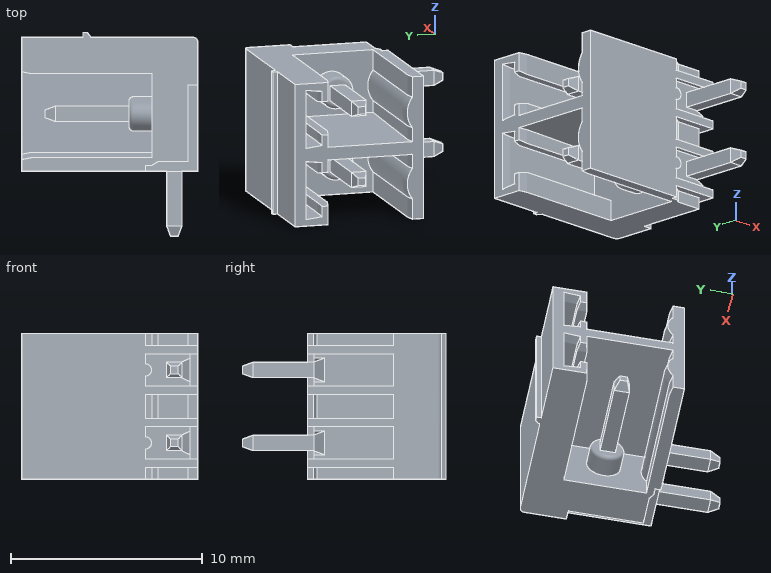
import cadquery as cq


length = 9.2
height = 7.0
pitch = 3.81
poles = 2
width = poles * pitch
corner_radius = 0.25

ridge_height = 0.25
ridge_start = 3.2
ridge_crest = 0.23
ridge_base = 0.43

cavity_depth = 6.8
lead_in_length = 0.5
lead_in_flare = 0.1
divider_draft = 0.12
floor_thickness = 0.71
divider_half = 0.46
rail_bottom = 5.1
rail_top = 5.63
rail_reach = 0.8
slot_top = 6.31
slot_half_bottom = 1.35
slot_half_top = 1.45
key_height = 0.28
key_half_width = 0.82

pin_size = 0.81
pin_tip_size = 0.4
pin_taper = 0.55
pin_height = 3.0
pin_front = 1.22
solder_leg_x = 7.97
solder_leg_length = 3.4
collar_diameter = 1.8
collar_length = 1.2
collar_round = 0.25

rib_thickness = 0.44
window_half_width = 0.845
relief_start = 6.46
relief_step_depth = 0.31
relief_slope_start = 6.8
relief_slope_end = 7.12
relief_depth = 0.51
relief_rear = 8.68
relief_top = 4.5

window_depth = 0.35
window_rear = 8.8
window_lug_radius = 0.32
funnel_drop = 0.55
funnel_half_near = 0.42
funnel_half_far = 0.62

pole_heights = [pitch * (index + 0.5) for index in range(poles)]


def block(x_range, y_range, z_range):
    """Box spanning the given (start, end) ranges."""
    sizes = [end - start for start, end in (x_range, y_range, z_range)]
    corner = (x_range[0], y_range[0], z_range[0])
    return cq.Workplane("XY").box(*sizes, centered=False).translate(corner)


def make_shell():
    """Solid housing with a rounded rear corner and the latch ridge."""
    shell = block((0, length), (0, height), (0, width))
    shell = shell.edges("|Z and >X and >Y").fillet(corner_radius)
    ridge = (
        cq.Workplane("XY")
        .moveTo(ridge_start, height)
        .lineTo(ridge_start, height + ridge_height)
        .lineTo(ridge_start + ridge_crest, height + ridge_height)
        .lineTo(ridge_start + ridge_base, height)
        .close()
        .extrude(width)
    )
    return shell.union(ridge)


def draw_cavity(sketch, flare, draft):
    """First pole's cavity outline, open at Z = 0.

    The walls move out by flare, except the divider face, which moves out by draft.
    """
    axis = pole_heights[0]
    floor = floor_thickness - flare
    divider = pitch - divider_half + draft
    bottom = rail_bottom + flare
    top = rail_top - flare
    reach = rail_reach + flare
    slot_low = slot_half_bottom + flare
    slot_high = slot_half_top + flare
    roof = slot_top + flare
    return (
        sketch.moveTo(floor, 0)
        .lineTo(floor, axis - key_half_width)
        .threePointArc((floor + key_height, axis), (floor, axis + key_half_width))
        .lineTo(floor, divider)
        .lineTo(bottom, divider)
        .lineTo(bottom, axis + reach)
        .lineTo(top, axis + reach)
        .lineTo(top, axis + slot_low)
        .lineTo(roof, axis + slot_high)
        .lineTo(roof, axis - slot_high)
        .lineTo(top, axis - slot_low)
        .lineTo(top, axis - reach)
        .lineTo(bottom, axis - reach)
        .lineTo(bottom, 0)
        .close()
    )


def make_cavities():
    """Keyed cavities with a flared mouth and drafted divider, mirrored about the central divider."""
    lead_in_draft = divider_draft * (1 - lead_in_length / cavity_depth)
    deep = draw_cavity(cq.Workplane("YZ"), 0, divider_draft)
    deep = draw_cavity(deep.workplane(offset=cavity_depth, origin=(0, 0, 0)), 0, 0).loft(ruled=True)
    mouth = draw_cavity(cq.Workplane("YZ"), lead_in_flare, divider_draft)
    mouth_end = mouth.workplane(offset=lead_in_length, origin=(0, 0, 0))
    mouth = draw_cavity(mouth_end, 0, lead_in_draft).loft(ruled=True)
    first = deep.union(mouth)
    second = first.mirror("XY", (0, 0, width / 2))
    return first.union(second)


def make_reliefs():
    """Stepped underside recesses outside and between the pairs of ribs."""
    profile = (
        cq.Workplane("XY")
        .moveTo(relief_start, 0)
        .lineTo(relief_start, relief_step_depth)
        .lineTo(relief_slope_start, relief_step_depth)
        .lineTo(relief_slope_end, relief_depth)
        .lineTo(relief_rear, relief_depth)
        .lineTo(relief_rear, relief_top)
        .lineTo(length, relief_top)
        .lineTo(length, 0)
        .close()
        .extrude(width)
    )
    for axis in pole_heights:
        kept = window_half_width + rib_thickness
        profile = profile.cut(block((0, length), (0, height), (axis - kept, axis + kept)))
    return profile


def make_window(axis):
    """Recess between two ribs around a solder leg, with a rear slot, lug and funnel."""
    z_range = (axis - window_half_width, axis + window_half_width)
    floor_recess = block((relief_start, length), (0, window_depth), z_range)
    rear_slot = block((window_rear, length), (0, relief_top), z_range)
    lug = (
        cq.Workplane("XZ", origin=(relief_start, 0, axis))
        .circle(window_lug_radius)
        .extrude(-window_depth)
    )
    return floor_recess.cut(lug).union(rear_slot).union(make_funnel(axis))


def make_funnel(axis):
    """Ramp that falls away from the solder leg to the rear slot, widening as it goes."""
    near = solder_leg_x + pin_size / 2
    ramp = (
        cq.Workplane("XY")
        .moveTo(near, window_depth)
        .lineTo(window_rear, window_depth)
        .lineTo(window_rear, window_depth + funnel_drop)
        .close()
        .extrude(width)
    )
    plan = (
        cq.Workplane("XZ")
        .moveTo(near, axis - funnel_half_near)
        .lineTo(window_rear, axis - funnel_half_far)
        .lineTo(window_rear, axis + funnel_half_far)
        .lineTo(near, axis + funnel_half_near)
        .close()
        .extrude(-height)
    )
    return ramp.intersect(plan)


def make_bar(plane, origin, bar_length):
    """Square bar along the plane normal, tapered at its far end."""
    straight = bar_length - pin_taper
    bar = cq.Workplane(plane, origin=origin).rect(pin_size, pin_size).extrude(straight)
    tip = (
        bar.faces(cq.selectors.DirectionMinMaxSelector(cq.Plane.named(plane).zDir))
        .workplane(centerOption="CenterOfMass")
        .rect(pin_size, pin_size)
        .workplane(offset=pin_taper)
        .rect(pin_tip_size, pin_tip_size)
        .loft(combine=False)
    )
    return bar.union(tip)


def make_pin(axis):
    """Bent pin: contact blade, collar at the cavity end wall and solder leg."""
    leg_rear = solder_leg_x + pin_size / 2
    blade = make_bar("ZY", (leg_rear, pin_height, axis), leg_rear - pin_front)
    leg = make_bar("XZ", (solder_leg_x, pin_height, axis), pin_height + solder_leg_length)
    collar = (
        cq.Workplane("ZY", origin=(cavity_depth, pin_height, axis))
        .circle(collar_diameter / 2)
        .extrude(collar_length)
        .faces("<X")
        .edges()
        .fillet(collar_round)
    )
    return blade.union(leg).union(collar)


result = make_shell().cut(make_cavities()).cut(make_reliefs())
for pole_axis in pole_heights:
    result = result.cut(make_window(pole_axis)).union(make_pin(pole_axis))